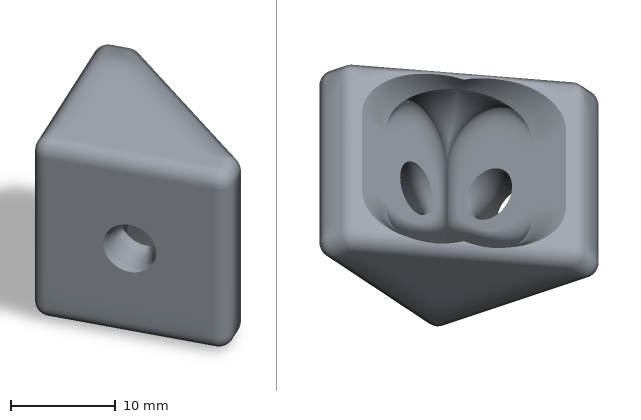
import cadquery as cq

side = 20.0
end_land = 4.0
edge_radius = 1.5

hole_diameter = 5.35
hole_centre = side / 2

slot_width = 10.0
slot_height = 18.32
wall = hole_centre - slot_width / 2


def rounded_wedge():
    outline = [(0, 0), (side, 0), (side, end_land), (end_land, side), (0, side)]
    return cq.Workplane("XY").polyline(outline).close().extrude(side).edges().fillet(edge_radius)


def screw_cut_along_x():
    """Through hole along X, opening into a head slot beyond the wall."""
    centre = (hole_centre, hole_centre)
    hole = cq.Workplane("YZ").center(*centre).circle(hole_diameter / 2).extrude(side)
    slot = (
        cq.Workplane("YZ", origin=(wall, 0, 0))
        .center(*centre)
        .slot2D(slot_height, slot_width, 90)
        .extrude(side - wall)
    )
    return hole.union(slot)


cut_along_x = screw_cut_along_x()
cut_along_y = cut_along_x.rotate((0, 0, 0), (0, 0, 1), 90).mirror("YZ")

result = rounded_wedge().cut(cut_along_x).cut(cut_along_y)